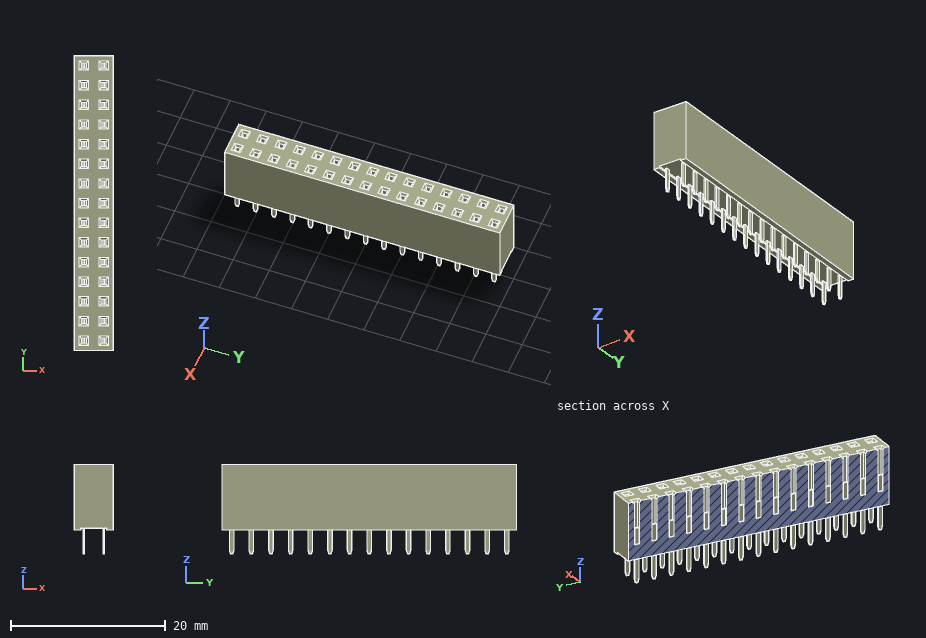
import cadquery as cq

length = 38.1
row_count = 15
column_count = 2
pitch = length / row_count
width = column_count * pitch

total_height = 11.6
body_height = 8.5
pin_drop = total_height - body_height

channel_width = 3.35
channel_depth = 0.23

funnel_size = 1.22
hole_size = 0.65
funnel_depth = (funnel_size - hole_size) / 2
hole_depth = 6.1

pin_width = 0.6
pin_thickness = 0.2
tip_width = 0.3
tip_length = 0.5
blade_height = 2.3

grid = [
    ((column - (column_count - 1) / 2) * pitch, (row - (row_count - 1) / 2) * pitch)
    for column in range(column_count)
    for row in range(row_count)
]


def make_body():
    """Rectangular housing standing on Z = 0, with a channel along its underside."""
    housing = cq.Workplane("XY").box(width, length, body_height, centered=(True, True, False))
    channel = cq.Workplane("XY").box(channel_width, length, channel_depth, centered=(True, True, False))
    return housing.cut(channel)


def make_socket():
    """Solid to remove for one socket, centred on the Z axis."""
    funnel = (
        cq.Workplane("XY", origin=(0, 0, body_height))
        .rect(funnel_size, funnel_size)
        .workplane(offset=-funnel_depth)
        .rect(hole_size, hole_size)
        .loft(ruled=True)
    )
    hole = cq.Workplane("XY", origin=(0, 0, body_height - hole_depth)).box(
        hole_size, hole_size, hole_depth, centered=(True, True, False)
    )
    return funnel.union(hole)


def make_pin():
    """Flat pin with a tapered lower tip; its upper end stands up inside the socket."""
    top = body_height - hole_depth + blade_height
    half_profile = [
        (0, top),
        (pin_width / 2, top),
        (pin_width / 2, tip_length - pin_drop),
        (tip_width / 2, -pin_drop),
        (0, -pin_drop),
    ]
    return (
        cq.Workplane("YZ")
        .polyline(half_profile)
        .mirrorY()
        .extrude(pin_thickness / 2, both=True)
    )


def on_grid(shape):
    """Copies of a shape at every contact position."""
    return cq.Workplane("XY").newObject(
        [shape.val().moved(cq.Location(cq.Vector(x, y, 0))) for x, y in grid]
    )


sockets = cq.Compound.makeCompound(on_grid(make_socket()).vals())
pins = on_grid(make_pin()).vals()
result = make_body().cut(cq.Workplane(sockets))
result = cq.Workplane(result.val().fuse(*pins))